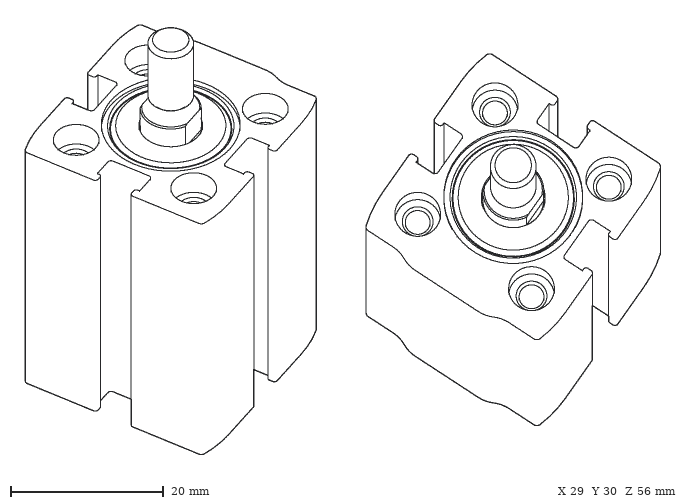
import cadquery as cq
HOUSING_WIDTH = 29.0
HOUSING_HEIGHT = 41.0
HALF_WIDTH = HOUSING_WIDTH / 2
PAD_HEIGHT = 1.0
PAD_TOP_HALF = 5.0
PAD_FOOT_HALF = 9.2
FLANK_HALF = 9.2
CORNER_X = 13.6
CORNER_RADIUS = 0.7

SLOT_DEPTH = 4.5
SLOT_HALF_WIDTH = 3.25
SLOT_MOUTH_HALF = 2.6
SLOT_LIP = 1.35
SLOT_CORNER_RADIUS = 0.5
LIP_OUTER_RADIUS = 0.45
LIP_INNER_RADIUS = 0.4

HOLE_OFFSET = 9.0
HOLE_DIAMETER = 3.25
SINK_DIAMETER = 4.05
COUNTERBORE_DIAMETER = 6.0
COUNTERBORE_DEPTH = 3.5

RECESS_RADIUS = 18.2 / 2
RECESS_DEPTH = 0.8
RIDGE_RADIUS = 8.3
RIDGE_DROP = 0.3
GROOVE_RADIUS = 16.0 / 2
GROOVE_DEPTH = 0.8
GUIDE_FOOT_RADIUS = 7.9
GUIDE_SHOULDER_RADIUS = 7.2
GUIDE_SHOULDER_DROP = 0.2
GUIDE_TOP_RADIUS = 7.0
GUIDE_DROP = 0.15

ROD_RADIUS = 8.0 / 2
ROD_INSERTION = 15.0
ROD_TOP = 56.0
COLLAR_HEIGHT = 3.0
COLLAR_CHAMFER = 0.195
CLEARANCE = 0.15
CLEARANCE_DEPTH = 1.25
FLATS_WIDTH = 6.95
FLAT_SINK = 0.85
FLAT_RAMP_DROP = 0.3
NECK_RADIUS = 4.7 / 2
NECK_FILLET = 0.45
THREAD_RADIUS = 6.0 / 2
THREAD_START = 5.15
TIP_CHAMFER = 0.6


def housing_block():
    """Square block with bowed flanks, rounded corners and a raised pad along the +Y side."""
    bow_drop = HALF_WIDTH - CORNER_X
    bow_length = HALF_WIDTH - FLANK_HALF
    bow_radius = (bow_length**2 + bow_drop**2) / (2 * bow_drop)
    pad_y = HALF_WIDTH + PAD_HEIGHT
    pad_mid = ((PAD_TOP_HALF + PAD_FOOT_HALF) / 2, HALF_WIDTH + PAD_HEIGHT / 2)

    half = (
        cq.Workplane("XY")
        .moveTo(0, -HALF_WIDTH)
        .lineTo(CORNER_X, -HALF_WIDTH)
        .radiusArc((HALF_WIDTH, -FLANK_HALF), -bow_radius)
        .lineTo(HALF_WIDTH, FLANK_HALF)
        .radiusArc((CORNER_X, HALF_WIDTH), -bow_radius)
        .lineTo(PAD_FOOT_HALF, HALF_WIDTH)
        .tangentArcPoint(pad_mid, relative=False)
        .tangentArcPoint((PAD_TOP_HALF, pad_y), relative=False)
        .lineTo(0, pad_y)
        .close()
        .extrude(HOUSING_HEIGHT)
    )
    for y in (-HALF_WIDTH, HALF_WIDTH):
        corner = cq.NearestToPointSelector((CORNER_X, y, HOUSING_HEIGHT / 2))
        half = half.edges("|Z").edges(corner).fillet(CORNER_RADIUS)
    return half.union(half.mirror("YZ")).clean()


def slot(angle):
    """T-slot cutter for the -Y face, turned about Z by the angle."""
    floor_y = -HALF_WIDTH + SLOT_DEPTH
    lip_y = -HALF_WIDTH + SLOT_LIP
    half = (
        cq.Workplane("XY")
        .moveTo(0, -HALF_WIDTH)
        .lineTo(SLOT_MOUTH_HALF + LIP_OUTER_RADIUS, -HALF_WIDTH)
        .radiusArc((SLOT_MOUTH_HALF, -HALF_WIDTH + LIP_OUTER_RADIUS), LIP_OUTER_RADIUS)
        .lineTo(SLOT_MOUTH_HALF, lip_y - LIP_INNER_RADIUS)
        .radiusArc((SLOT_MOUTH_HALF + LIP_INNER_RADIUS, lip_y), LIP_INNER_RADIUS)
        .lineTo(SLOT_HALF_WIDTH, lip_y)
        .lineTo(SLOT_HALF_WIDTH, floor_y - SLOT_CORNER_RADIUS)
        .radiusArc((SLOT_HALF_WIDTH - SLOT_CORNER_RADIUS, floor_y), -SLOT_CORNER_RADIUS)
        .lineTo(0, floor_y)
        .close()
        .extrude(HOUSING_HEIGHT)
    )
    return half.union(half.mirror("YZ")).rotate((0, 0, 0), (0, 0, 1), angle)


def mounting_hole():
    """Counterbored through hole with a countersink on the counterbore floor."""
    floor_z = HOUSING_HEIGHT - COUNTERBORE_DEPTH
    hole_radius = HOLE_DIAMETER / 2
    sink_radius = SINK_DIAMETER / 2
    bore_radius = COUNTERBORE_DIAMETER / 2
    return (
        cq.Workplane("XZ")
        .moveTo(0, 0)
        .lineTo(hole_radius, 0)
        .lineTo(hole_radius, floor_z - (sink_radius - hole_radius))
        .lineTo(sink_radius, floor_z)
        .lineTo(bore_radius, floor_z)
        .lineTo(bore_radius, HOUSING_HEIGHT)
        .lineTo(0, HOUSING_HEIGHT)
        .close()
        .revolve(360, (0, 0, 0), (0, 1, 0))
    )


def guide_recess():
    """Rod bore and the stepped rings around it, down from the top face."""
    top = HOUSING_HEIGHT
    guide_z = top - GUIDE_DROP
    crest_radius = RIDGE_RADIUS - GROOVE_RADIUS
    return (
        cq.Workplane("XZ")
        .moveTo(0, top)
        .lineTo(RECESS_RADIUS, top)
        .lineTo(RECESS_RADIUS, top - RECESS_DEPTH)
        .lineTo(RIDGE_RADIUS, top - RIDGE_DROP)
        .radiusArc((GROOVE_RADIUS, top - RIDGE_DROP - crest_radius), -crest_radius)
        .lineTo(GROOVE_RADIUS, top - GROOVE_DEPTH)
        .lineTo(GUIDE_FOOT_RADIUS, top - GROOVE_DEPTH)
        .lineTo(GUIDE_SHOULDER_RADIUS, top - GUIDE_SHOULDER_DROP)
        .lineTo(GUIDE_TOP_RADIUS, guide_z)
        .lineTo(ROD_RADIUS + CLEARANCE, guide_z)
        .lineTo(ROD_RADIUS + CLEARANCE, top - CLEARANCE_DEPTH)
        .lineTo(ROD_RADIUS, top - CLEARANCE_DEPTH)
        .lineTo(ROD_RADIUS, top - ROD_INSERTION)
        .lineTo(0, top - ROD_INSERTION)
        .close()
        .revolve(360, (0, 0, 0), (0, 1, 0))
    )


def make_housing():
    body = housing_block()
    for angle in (-90, 0, 90):
        body = body.cut(slot(angle))
    for x in (-HOLE_OFFSET, HOLE_OFFSET):
        for y in (-HOLE_OFFSET, HOLE_OFFSET):
            body = body.cut(mounting_hole().translate((x, y, 0)))
    return body.cut(guide_recess())


def make_rod():
    """Piston rod with two wrench flats, an undercut neck and a threaded end."""
    top = HOUSING_HEIGHT
    collar_z = top + COLLAR_HEIGHT
    thread_z = top + THREAD_START
    body = (
        cq.Workplane("XZ")
        .moveTo(0, top - ROD_INSERTION)
        .lineTo(ROD_RADIUS, top - ROD_INSERTION)
        .lineTo(ROD_RADIUS, collar_z - COLLAR_CHAMFER)
        .lineTo(ROD_RADIUS - COLLAR_CHAMFER, collar_z)
        .lineTo(NECK_RADIUS + NECK_FILLET, collar_z)
        .radiusArc((NECK_RADIUS, collar_z + NECK_FILLET), NECK_FILLET)
        .lineTo(NECK_RADIUS, thread_z - (THREAD_RADIUS - NECK_RADIUS))
        .lineTo(THREAD_RADIUS, thread_z)
        .lineTo(THREAD_RADIUS, ROD_TOP - TIP_CHAMFER)
        .lineTo(THREAD_RADIUS - TIP_CHAMFER, ROD_TOP)
        .lineTo(0, ROD_TOP)
        .close()
        .revolve(360, (0, 0, 0), (0, 1, 0))
    )
    flat_x = FLATS_WIDTH / 2
    ramp = ROD_RADIUS - flat_x
    flat_z = top - FLAT_SINK
    wedge = (
        cq.Workplane("XZ")
        .moveTo(flat_x, flat_z)
        .lineTo(flat_x + ramp, flat_z - FLAT_RAMP_DROP)
        .lineTo(flat_x + ramp, collar_z)
        .lineTo(flat_x, collar_z)
        .close()
        .extrude(ROD_RADIUS, both=True)
    )
    return body.cut(wedge).cut(wedge.mirror("YZ"))


housing = make_housing()
rod = make_rod()
result = cq.Compound.makeCompound([housing.val(), rod.val()])